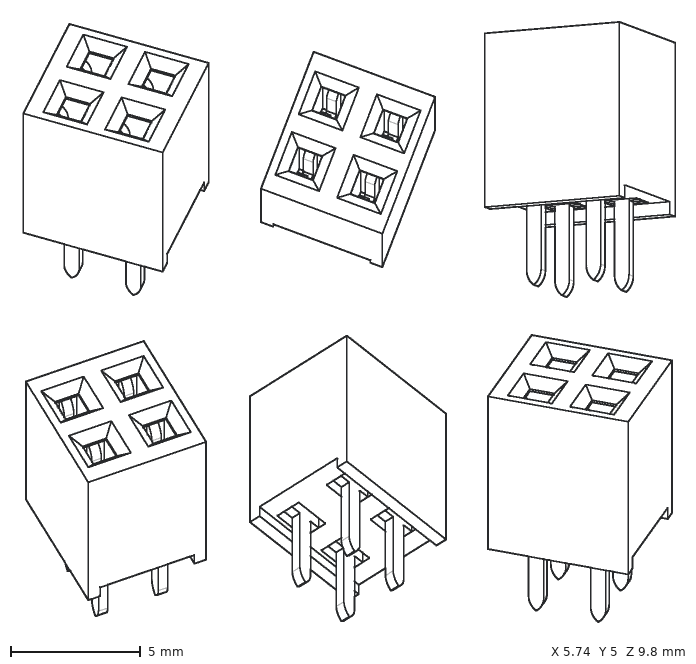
import cadquery as cq
import math

housing_length = 5.74
housing_width = 5.0
housing_height = 6.8
foot_width = 0.5
foot_height = 0.5

pitch = 2.54
socket_centers = [(x, y) for x in (-pitch / 2, pitch / 2) for y in (-pitch / 2, pitch / 2)]

funnel_width = 1.8
throat_width = 1.0
funnel_depth = (funnel_width - throat_width) / 2
throat_depth = 0.1
cavity_length = 1.55
cavity_width = 1.1
throat_top = housing_height - funnel_depth
cavity_top = throat_top - throat_depth

contact_thickness = 0.4
contact_base = foot_height
tine_clearance = 0.1
tine_top = cavity_top - tine_clearance
tine_tip_gap = 1.2
slot_width = 0.59
tine_lead_radius = 0.7
slot_shoulder = 3.0
slot_ridge_height = 0.1
pin_width = 0.62
pin_length = 3.0
pin_tip_height = 0.6


def flank_middle(half_width, height):
    """Half width, and drop below the shoulder, at mid-height of an arc from a vertical side to the tip."""
    radius = (half_width**2 + height**2) / (2 * half_width)
    inset = radius - math.sqrt(radius**2 - (height / 2) ** 2)
    return half_width - inset, height / 2


def make_socket(x, y):
    """Space removed from the housing for one socket."""
    funnel = (
        cq.Workplane("XY", origin=(x, y, throat_top))
        .rect(throat_width, throat_width)
        .workplane(offset=funnel_depth)
        .rect(funnel_width, funnel_width)
        .loft(ruled=True)
    )
    throat = (
        cq.Workplane("XY", origin=(x, y, cavity_top))
        .rect(throat_width, throat_width)
        .extrude(throat_depth)
    )
    cavity = cq.Workplane("XY", origin=(x, y, 0)).rect(cavity_length, cavity_width).extrude(cavity_top)
    return funnel.union(throat).union(cavity)


def make_housing():
    block = cq.Workplane("XY").box(
        housing_length, housing_width, housing_height, centered=(True, True, False)
    )
    channel = cq.Workplane("XY").box(
        housing_length, housing_width - 2 * foot_width, foot_height, centered=(True, True, False)
    )
    body = block.cut(channel)
    for x, y in socket_centers:
        body = body.cut(make_socket(x, y))
    return body


def make_contact(x, y):
    """One flat fork contact with its solder pin, drawn in XZ and extruded across its thickness."""
    half_length = cavity_length / 2
    half_slot = slot_width / 2
    half_gap = tine_tip_gap / 2
    half_pin = pin_width / 2

    lead_run = half_gap - half_slot
    lead_height = math.sqrt(tine_lead_radius**2 - (tine_lead_radius - lead_run) ** 2)
    lead_base = tine_top - lead_height
    lead_angle = math.asin(lead_height / tine_lead_radius) / 2
    lead_middle_x = half_slot + tine_lead_radius * (1 - math.cos(lead_angle))
    lead_middle_z = lead_base + tine_lead_radius * math.sin(lead_angle)

    pin_shoulder = -pin_length + pin_tip_height
    flank_x, flank_drop = flank_middle(half_pin, pin_tip_height)
    flank_z = pin_shoulder - flank_drop

    return (
        cq.Workplane("XZ", origin=(x, y + contact_thickness / 2, 0))
        .moveTo(-half_pin, contact_base)
        .lineTo(-half_length, contact_base)
        .lineTo(-half_length, tine_top)
        .lineTo(-half_gap, tine_top)
        .threePointArc((-lead_middle_x, lead_middle_z), (-half_slot, lead_base))
        .lineTo(-half_slot, slot_shoulder)
        .lineTo(0, slot_shoulder + slot_ridge_height)
        .lineTo(half_slot, slot_shoulder)
        .lineTo(half_slot, lead_base)
        .threePointArc((lead_middle_x, lead_middle_z), (half_gap, tine_top))
        .lineTo(half_length, tine_top)
        .lineTo(half_length, contact_base)
        .lineTo(half_pin, contact_base)
        .lineTo(half_pin, pin_shoulder)
        .threePointArc((flank_x, flank_z), (0, -pin_length))
        .threePointArc((-flank_x, flank_z), (-half_pin, pin_shoulder))
        .close()
        .extrude(contact_thickness)
    )


housing = make_housing()
contacts = [make_contact(x, y) for x, y in socket_centers]

result = cq.Compound.makeCompound([housing.val(), *[contact.val() for contact in contacts]])